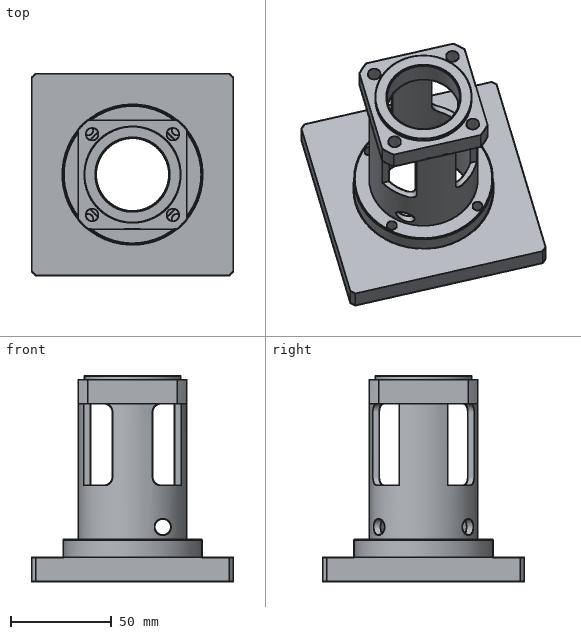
import cadquery as cq

base_side = 100.0
base_height = 12.0
base_corner_chamfer = 2.0

lower_flange_diameter = 69.0
lower_flange_top = 21.0
lower_flange_chamfer = 0.5
seat_diameter = 69.7
seat_depth = 1.0
lower_hole_diameter = 4.9
lower_hole_radius = 31.0

tube_diameter = 54.0
tube_bore_diameter = 48.0

upper_flange_bottom = 88.0
upper_flange_top = 100.0
upper_flange_side = tube_diameter
upper_flange_corner_diameter = 70.0
upper_hole_diameter = 6.2
upper_hole_offset = 20.0

total_height = 102.0
spigot_diameter = 47.8
spigot_chamfer = 0.2
spigot_bore_diameter = 36.0
spigot_bore_chamfer = 0.5

window_height = 40.3
window_bottom = upper_flange_bottom - window_height
window_fillet = 4.0
post_half_width_front = 10.0
post_half_width_side = 12.0

cross_hole_diameter = 8.0
cross_hole_x = 15.0
cross_hole_z = 27.0


def cylinder(diameter, bottom, top):
    """Upright cylinder on the part axis."""
    return cq.Workplane("XY").workplane(offset=bottom).circle(diameter / 2).extrude(top - bottom)


def make_base():
    plate = cq.Workplane("XY").rect(base_side, base_side).extrude(base_height)
    plate = plate.edges("|Z").chamfer(base_corner_chamfer)
    seat_floor = base_height - seat_depth
    groove = cylinder(seat_diameter, seat_floor, base_height)
    groove = groove.cut(cylinder(lower_flange_diameter, seat_floor, base_height))
    return plate.cut(groove)


def make_lower_flange():
    flange = cylinder(lower_flange_diameter, base_height, lower_flange_top)
    flange = flange.faces(">Z").edges().chamfer(lower_flange_chamfer)
    holes = (
        cq.Workplane("XY")
        .workplane(offset=base_height)
        .polarArray(lower_hole_radius, 45, 360, 4)
        .circle(lower_hole_diameter / 2)
        .extrude(lower_flange_top - base_height)
    )
    return flange.cut(holes)


def make_upper_flange():
    thickness = upper_flange_top - upper_flange_bottom
    return (
        cq.Workplane("XY")
        .workplane(offset=upper_flange_bottom)
        .rect(upper_flange_side, upper_flange_side)
        .extrude(thickness)
        .intersect(cylinder(upper_flange_corner_diameter, upper_flange_bottom, upper_flange_top))
        .faces(">Z")
        .workplane()
        .rect(2 * upper_hole_offset, 2 * upper_hole_offset, forConstruction=True)
        .vertices()
        .hole(upper_hole_diameter)
    )


def make_spigot():
    spigot = cylinder(spigot_diameter, upper_flange_top, total_height)
    return spigot.faces(">Z").edges().chamfer(spigot_chamfer)


def make_window(x_sign, y_sign):
    """Corner cutter, rounded where it meets the post on the Y axis."""
    reach = tube_diameter / 2
    block = cq.Workplane("XY").box(reach, reach, window_height, centered=False)
    block = block.edges("|Y and <X").fillet(window_fillet)
    block = block.translate((post_half_width_front, post_half_width_side, window_bottom))
    if x_sign < 0:
        block = block.mirror("YZ")
    if y_sign < 0:
        block = block.mirror("XZ")
    return block


tube = cylinder(tube_diameter, base_height, upper_flange_bottom)
for x_sign in (-1, 1):
    for y_sign in (-1, 1):
        tube = tube.cut(make_window(x_sign, y_sign))

cross_hole = (
    cq.Workplane("XZ")
    .center(cross_hole_x, cross_hole_z)
    .circle(cross_hole_diameter / 2)
    .extrude(tube_diameter / 2, both=True)
)
tube = tube.cut(cross_hole)

body = make_base().union(make_lower_flange()).union(tube)
body = body.union(make_upper_flange()).union(make_spigot())
body = body.cut(cylinder(tube_bore_diameter, 0, upper_flange_bottom))
body = body.cut(cylinder(spigot_bore_diameter, upper_flange_bottom, total_height))
bore_rim = cq.selectors.RadiusNthSelector(0)
result = body.faces(">Z").edges(bore_rim).chamfer(spigot_bore_chamfer)